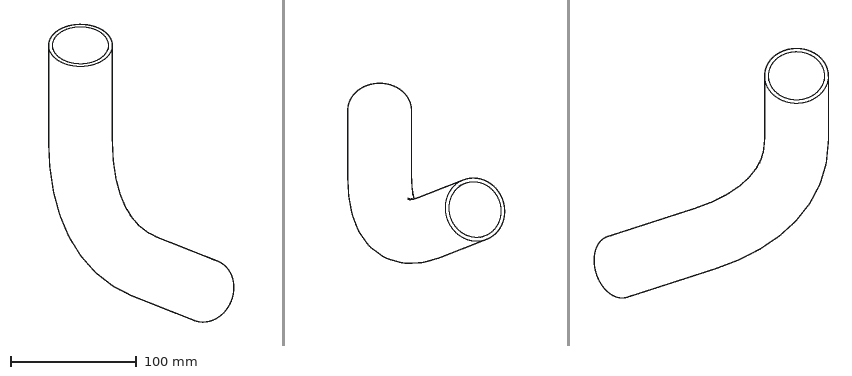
import cadquery as cq
import math

overall_height = 371.0
outer_diameter = 51.0
inner_diameter = 44.5
straight_length = 101.0
bend_angle = 45.0

bend_sin = math.sin(math.radians(bend_angle))
bend_cos = math.cos(math.radians(bend_angle))
tilted_end_drop = straight_length * bend_cos + outer_diameter / 2 * bend_sin
bend_radius = (overall_height - straight_length - tilted_end_drop) / bend_sin


def arc_point(angle):
    """Point (Y, Z) on the bend centreline, angle in degrees from the bend's upper end."""
    turn = math.radians(angle)
    return (
        bend_radius * (1 - math.cos(turn)),
        -straight_length - bend_radius * math.sin(turn),
    )


bend_middle = arc_point(bend_angle / 2)
bend_end = arc_point(bend_angle)
tube_end = (
    bend_end[0] + straight_length * bend_sin,
    bend_end[1] - straight_length * bend_cos,
)

centreline = (
    cq.Workplane("YZ")
    .moveTo(0, 0)
    .lineTo(0, -straight_length)
    .threePointArc(bend_middle, bend_end)
    .lineTo(*tube_end)
)

result = (
    cq.Workplane("XY")
    .circle(outer_diameter / 2)
    .circle(inner_diameter / 2)
    .sweep(centreline)
)